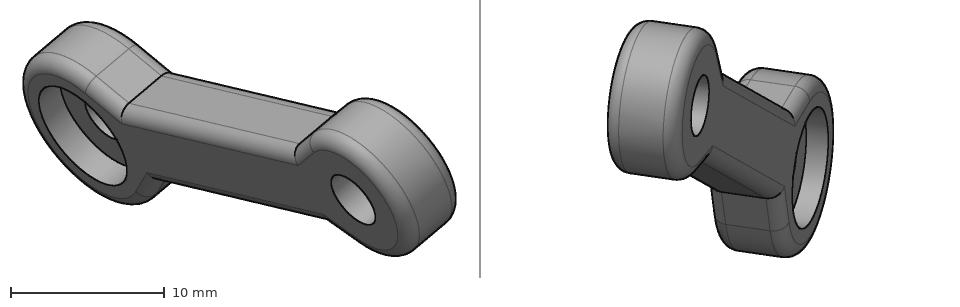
import cadquery as cq
import math

thickness = 5.0
large_radius = 6.0
small_radius = 5.0
overall_length = 35.55
overall_height = 28.2
bar_half_width = 3.0
edge_radius = 1.0
large_hole_diameter = 3.5
small_hole_diameter = 4.0
counterbore_diameter = 8.0
front_counterbore_depth = 2.0
rear_counterbore_depth = 1.5

small_eye_x = overall_length - large_radius - small_radius
small_eye_z = overall_height - large_radius - small_radius
eye_spacing = math.hypot(small_eye_x, small_eye_z)
bar_angle = math.degrees(math.atan2(small_eye_z, small_eye_x))


def neck_touch_point(eye_radius):
    """Return where the neck touches its eye, along and across the bar axis.

    The neck starts on the bar edge one eye radius from the eye centre.
    """
    touch_angle = 2 * math.atan2(bar_half_width, eye_radius)
    return eye_radius * math.cos(touch_angle), eye_radius * math.sin(touch_angle)


def make_body():
    """Extrude the link outline along +Y and round its outer edges."""
    large_along, large_across = neck_touch_point(large_radius)
    small_along, small_across = neck_touch_point(small_radius)
    small_touch = eye_spacing - small_along
    small_neck = eye_spacing - small_radius
    outline = (
        cq.Workplane("XZ", origin=(0, thickness / 2, 0))
        .moveTo(large_along, large_across)
        .lineTo(large_radius, bar_half_width)
        .lineTo(small_neck, bar_half_width)
        .lineTo(small_touch, small_across)
        .threePointArc((eye_spacing + small_radius, 0), (small_touch, -small_across))
        .lineTo(small_neck, -bar_half_width)
        .lineTo(large_radius, -bar_half_width)
        .lineTo(large_along, -large_across)
        .threePointArc((-large_radius, 0), (large_along, large_across))
        .close()
    )
    body = outline.extrude(thickness).faces("<Y or >Y").edges().fillet(edge_radius)
    return body.rotate((0, 0, 0), (0, 1, 0), -bar_angle)


def bore(x, z, diameter, start_y, end_y):
    """Make a cylinder along +Y between two depths."""
    start = cq.Vector(x, start_y, z)
    return cq.Workplane(cq.Solid.makeCylinder(diameter / 2, end_y - start_y, start, cq.Vector(0, 1, 0)))


front_y = -thickness / 2
rear_y = thickness / 2
front_floor_y = front_y + front_counterbore_depth
rear_floor_y = rear_y - rear_counterbore_depth

result = (
    make_body()
    .cut(bore(0, 0, large_hole_diameter, front_y, rear_y))
    .cut(bore(0, 0, counterbore_diameter, front_y, front_floor_y))
    .cut(bore(0, 0, counterbore_diameter, rear_floor_y, rear_y))
    .cut(bore(small_eye_x, small_eye_z, small_hole_diameter, front_y, rear_y))
)